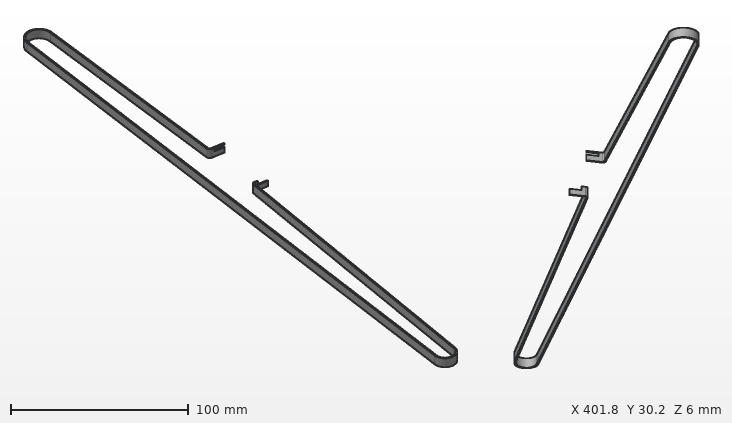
import cadquery as cq
import math

LENGTH = 401.79
DEPTH = 30.24
STRIP_HEIGHT = 6.0
STRIP_THICKNESS = 1.0

LEFT_LOOP_RADIUS = 8.72
RIGHT_LOOP_RADIUS = 6.98

BACK_TILT = 0.143
LEFT_ARM_TILT = 1.12
RIGHT_ARM_TILT = 1.55

LEFT_TAB_X = 154.4
TAB_SPACING = 42.4
RIGHT_TAB_X = LEFT_TAB_X + TAB_SPACING
BEND_INNER_RADIUS = 1.0

CUTOUT_DEPTH = 7.0
CUTOUT_FLOOR = 3.6
PRONG_HEIGHT = 0.5

LEFT_CENTER = (LEFT_LOOP_RADIUS, LEFT_LOOP_RADIUS)
RIGHT_CENTER_X = LENGTH - RIGHT_LOOP_RADIUS
BACK_ANGLE = math.radians(BACK_TILT)
BACK_RISE = (RIGHT_CENTER_X - LEFT_CENTER[0]) * math.tan(BACK_ANGLE)
RADIUS_DROP = (LEFT_LOOP_RADIUS - RIGHT_LOOP_RADIUS) / math.cos(BACK_ANGLE)
RIGHT_CENTER = (RIGHT_CENTER_X, LEFT_CENTER[1] + BACK_RISE - RADIUS_DROP)


def point_on_loop(center, radius, degrees):
    angle = math.radians(degrees)
    return (center[0] + radius * math.cos(angle), center[1] + radius * math.sin(angle))


def point_on_arm(start, tilt, x):
    """Point at `x` on the arm that leaves its loop at `start`."""
    return (x, start[1] + (x - start[0]) * math.tan(math.radians(tilt)))


def enclosed_block(inset):
    """Block bounded by the strip face that lies `inset` inside the outer face."""
    left_radius = LEFT_LOOP_RADIUS - inset
    right_radius = RIGHT_LOOP_RADIUS - inset
    left_arm_start = point_on_loop(LEFT_CENTER, left_radius, 90 + LEFT_ARM_TILT)
    right_arm_start = point_on_loop(RIGHT_CENTER, right_radius, 90 - RIGHT_ARM_TILT)
    left_corner = point_on_arm(left_arm_start, LEFT_ARM_TILT, LEFT_TAB_X + inset)
    right_corner = point_on_arm(right_arm_start, -RIGHT_ARM_TILT, RIGHT_TAB_X - inset)

    block = (
        cq.Workplane("XY")
        .moveTo(left_corner[0], DEPTH)
        .lineTo(*left_corner)
        .lineTo(*left_arm_start)
        .threePointArc(
            point_on_loop(LEFT_CENTER, left_radius, 180),
            point_on_loop(LEFT_CENTER, left_radius, 270 + BACK_TILT),
        )
        .lineTo(*point_on_loop(RIGHT_CENTER, right_radius, 270 + BACK_TILT))
        .threePointArc(point_on_loop(RIGHT_CENTER, right_radius, 0), right_arm_start)
        .lineTo(*right_corner)
        .lineTo(right_corner[0], DEPTH)
        .close()
        .extrude(STRIP_HEIGHT)
    )
    for corner in (left_corner, right_corner):
        bend_edge = cq.selectors.NearestToPointSelector((*corner, STRIP_HEIGHT / 2))
        block = block.edges(bend_edge).fillet(BEND_INNER_RADIUS + inset)
    return block


def tab_cutout(tab_middle_x, top):
    """Cutter through a tab, from the cutout floor up to `top`, open at the tip."""
    return (
        cq.Workplane("XY")
        .box(2 * STRIP_THICKNESS, CUTOUT_DEPTH, top - CUTOUT_FLOOR, centered=(True, False, False))
        .translate((tab_middle_x, DEPTH - CUTOUT_DEPTH, CUTOUT_FLOOR))
    )


strip = enclosed_block(0).cut(enclosed_block(STRIP_THICKNESS))

left_slot = tab_cutout(LEFT_TAB_X + STRIP_THICKNESS / 2, STRIP_HEIGHT - PRONG_HEIGHT)
right_notch = tab_cutout(RIGHT_TAB_X - STRIP_THICKNESS / 2, STRIP_HEIGHT)

result = strip.cut(left_slot).cut(right_notch)